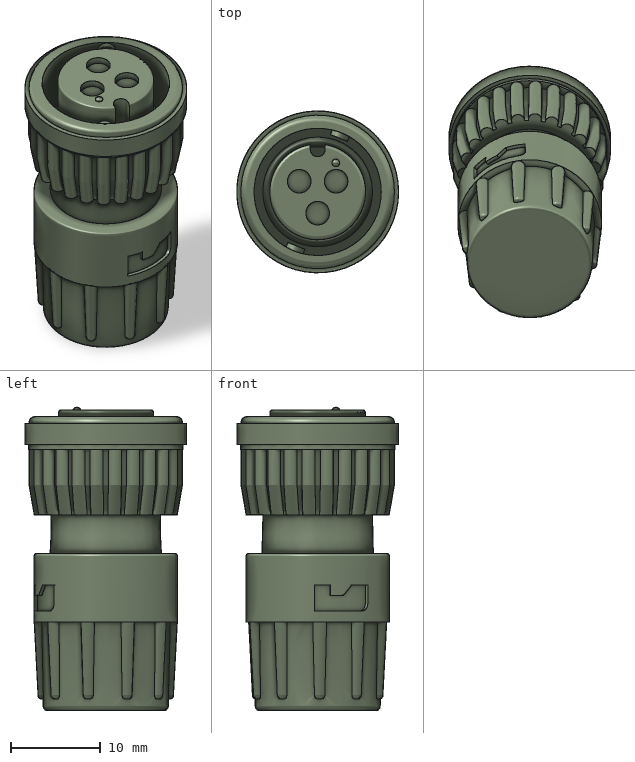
import cadquery as cq
import math


CLAMP_RADIUS = 6.95
CLAMP_TOP_RADIUS = 7.2
CLAMP_EDGE_FILLET = 0.5

CLAMP_RIB_COUNT = 10
CLAMP_RIB_START_ANGLE = -88.2
CLAMP_RIB_BOTTOM = 1.27
CLAMP_RIB_TOP_RADIUS = 0.77
CLAMP_RIB_END_RADIUS = 0.58
CLAMP_RIB_END_FILLET = 0.45

COLLAR_BOTTOM = 9.85
COLLAR_TOP = 17.5
COLLAR_RADIUS = 8.0
COLLAR_FILLET = 0.35

RECESS_COUNT = 2
RECESS_DEPTH = 0.4
RECESS_BOTTOM = 11.1
RECESS_TOP = 13.97
RECESS_CORNER_HEIGHT = 0.75
RECESS_CORNER_ANGLE = 6.0
RECESS_START_ANGLE = -92.7
RECESS_END_ANGLE = -45.8
TOOTH_BOTTOM = 12.81
TOOTH_START_ANGLE = -79.8
TOOTH_FLAT_END_ANGLE = -69.1
TOOTH_END_ANGLE = -61.6

NECK_BOTTOM_RADIUS = 6.2
NECK_TOP_RADIUS = 6.1

NUT_BOTTOM = 21.78
NUT_TAPER_TOP = 25.1
NUT_TAPER = 0.58
LIP_BOTTOM = 29.07
LIP_RADIUS = 8.6
FLANGE_BOTTOM = 29.6
FLANGE_TOP = 31.97
FLANGE_RADIUS = 18.03 / 2
RIM_TOP = 32.73
RIM_RADIUS = 8.54
RIM_FILLET = 0.7

NUT_RIB_COUNT = 24
NUT_RIB_RADIUS = 0.73
NUT_RIB_CIRCLE = LIP_RADIUS - NUT_RIB_RADIUS
NUT_CORE_RADIUS = 7.75

BORE_RADIUS = 7.08
BORE_FLOOR = 25.0
SLEEVE_INNER_RADIUS = 5.03
SLEEVE_OUTER_RADIUS = 6.1
SLEEVE_TOP = 27.5
SLEEVE_ROUND = (SLEEVE_OUTER_RADIUS - SLEEVE_INNER_RADIUS) / 2

PIN_RADIUS = 1.02
PIN_INNER_END = 6.45
PIN_OUTER_END = 7.5
PIN_CENTRE_HEIGHT = 31.6
PIN_ANGLES = (68.5, 248.5)

INSERT_RADIUS = 5.33
INSERT_TOP = 33.47
INSERT_FILLET = 0.36
CONTACT_COUNT = 3
CONTACT_RADIUS = 1.31
CONTACT_CIRCLE = 2.37
CONTACT_DEPTH = 0.81
KEYWAY_RADIUS = 0.83
KEYWAY_CENTRE = 4.75
KEYWAY_FLOOR = SLEEVE_TOP - SLEEVE_ROUND

DOT_X = 2.02
DOT_Y = 3.22
DOT_RADIUS = 0.42
DOT_TOP = 33.76


def disc(radius, bottom, top):
    """Solid cylinder on the part's axis between two heights."""
    return cq.Workplane("XY").workplane(offset=bottom).circle(radius).extrude(top - bottom)


def turned(points):
    """Solid of revolution about Z from an outline of (radius, height) points."""
    return cq.Workplane("XZ").polyline(points).close().revolve(360, (0, 0, 0), (0, 1, 0))


def around_axis(shape, angle):
    """Shape turned about Z by an angle in degrees."""
    return shape.rotate((0, 0, 0), (0, 0, 1), angle)


def with_ring(body, feature, count, start_angle):
    """Body joined in one step with evenly spaced copies of a feature around Z."""
    copies = [around_axis(feature, start_angle + index * 360 / count).val() for index in range(count)]
    return cq.Workplane(body.val().fuse(*copies))


def make_clamp_rib():
    """Tapered round rib along +X, rounded at its lower end and leaning with the clamp's cone."""
    length = COLLAR_BOTTOM - CLAMP_RIB_BOTTOM
    overlap = 0.1
    round_start = CLAMP_RIB_END_RADIUS - CLAMP_RIB_END_FILLET
    diagonal = CLAMP_RIB_END_FILLET * math.sqrt(0.5)
    rib = (
        cq.Workplane("XZ")
        .lineTo(round_start, 0)
        .threePointArc(
            (round_start + diagonal, CLAMP_RIB_END_FILLET - diagonal),
            (CLAMP_RIB_END_RADIUS, CLAMP_RIB_END_FILLET),
        )
        .lineTo(CLAMP_RIB_TOP_RADIUS, length)
        .lineTo(CLAMP_RIB_TOP_RADIUS, length + overlap)
        .lineTo(0, length + overlap)
        .close()
        .revolve(360, (0, 0, 0), (0, 1, 0))
    )
    lean = math.degrees(math.atan2(CLAMP_TOP_RADIUS - CLAMP_RADIUS, length))
    return rib.rotate((0, 0, 0), (0, 1, 0), lean).translate((CLAMP_RADIUS, 0, CLAMP_RIB_BOTTOM))


def make_clamp():
    """Clamp body with its ring of ribs."""
    clamp = turned([
        (0, 0),
        (CLAMP_RADIUS, 0),
        (CLAMP_TOP_RADIUS, COLLAR_BOTTOM),
        (0, COLLAR_BOTTOM),
    ])
    clamp = clamp.faces("<Z").edges().fillet(CLAMP_EDGE_FILLET)
    return with_ring(clamp, make_clamp_rib(), CLAMP_RIB_COUNT, CLAMP_RIB_START_ANGLE)


def make_recess():
    """Cutter for one collar recess: a wedge from the axis, limited to the recess depth."""
    middle_angle = (RECESS_START_ANGLE + RECESS_END_ANGLE) / 2
    corner_bulge = 1 - math.sqrt(0.5)

    def outline(plane, distance):
        def point(angle, height):
            return distance * math.tan(math.radians(angle - middle_angle)), height

        return (
            plane
            .moveTo(*point(RECESS_START_ANGLE, RECESS_BOTTOM))
            .lineTo(*point(RECESS_END_ANGLE - RECESS_CORNER_ANGLE, RECESS_BOTTOM))
            .threePointArc(
                point(
                    RECESS_END_ANGLE - corner_bulge * RECESS_CORNER_ANGLE,
                    RECESS_BOTTOM + corner_bulge * RECESS_CORNER_HEIGHT,
                ),
                point(RECESS_END_ANGLE, RECESS_BOTTOM + RECESS_CORNER_HEIGHT),
            )
            .lineTo(*point(RECESS_END_ANGLE, RECESS_TOP))
            .lineTo(*point(TOOTH_END_ANGLE, RECESS_TOP))
            .lineTo(*point(TOOTH_FLAT_END_ANGLE, TOOTH_BOTTOM))
            .lineTo(*point(TOOTH_START_ANGLE, TOOTH_BOTTOM))
            .lineTo(*point(TOOTH_START_ANGLE, RECESS_TOP))
            .lineTo(*point(RECESS_START_ANGLE, RECESS_TOP))
            .close()
        )

    near = COLLAR_RADIUS / 2
    far = COLLAR_RADIUS * 1.2
    near_outline = outline(cq.Workplane("YZ").workplane(offset=near), near)
    wedge = outline(near_outline.workplane(offset=far - near), far).loft(ruled=True)
    core = disc(COLLAR_RADIUS - RECESS_DEPTH, COLLAR_BOTTOM, COLLAR_TOP)
    return around_axis(wedge, middle_angle).cut(core)


def make_collar():
    """Collar with a rounded upper edge and the bayonet-shaped recesses."""
    collar = disc(COLLAR_RADIUS, COLLAR_BOTTOM, COLLAR_TOP)
    collar = collar.faces(">Z").edges().fillet(COLLAR_FILLET)
    recess = make_recess()
    for index in range(RECESS_COUNT):
        collar = collar.cut(around_axis(recess, index * 360 / RECESS_COUNT))
    return collar


def make_neck():
    """Slightly conical neck."""
    return turned([
        (0, COLLAR_TOP),
        (NECK_BOTTOM_RADIUS, COLLAR_TOP),
        (NECK_TOP_RADIUS, NUT_BOTTOM),
        (0, NUT_BOTTOM),
    ])


def make_nut_rib():
    """Round rib along +X: straight above, leaning inward over the nut's tapered part."""
    straight = (
        cq.Workplane("XY")
        .workplane(offset=NUT_TAPER_TOP)
        .center(NUT_RIB_CIRCLE, 0)
        .circle(NUT_RIB_RADIUS)
        .extrude(LIP_BOTTOM - NUT_TAPER_TOP)
    )
    leaning = (
        cq.Workplane("XY")
        .workplane(offset=NUT_BOTTOM)
        .center(NUT_RIB_CIRCLE - NUT_TAPER, 0)
        .circle(NUT_RIB_RADIUS)
        .workplane(offset=NUT_TAPER_TOP - NUT_BOTTOM)
        .center(NUT_TAPER, 0)
        .circle(NUT_RIB_RADIUS)
        .loft(ruled=True)
    )
    return straight.union(leaning)


def make_nut():
    """Coupling nut: ribbed grip, lip, flange and rounded rim, with the socket bore."""
    nut = turned([
        (0, NUT_BOTTOM),
        (NUT_CORE_RADIUS - NUT_TAPER, NUT_BOTTOM),
        (NUT_CORE_RADIUS, NUT_TAPER_TOP),
        (NUT_CORE_RADIUS, LIP_BOTTOM),
        (0, LIP_BOTTOM),
    ])
    half_pitch = 180 / NUT_RIB_COUNT
    nut = with_ring(nut, make_nut_rib(), NUT_RIB_COUNT, half_pitch)
    rim = disc(RIM_RADIUS, FLANGE_TOP, RIM_TOP).faces(">Z").edges().fillet(RIM_FILLET)
    nut = nut.union(disc(LIP_RADIUS, LIP_BOTTOM, FLANGE_BOTTOM))
    nut = nut.union(disc(FLANGE_RADIUS, FLANGE_BOTTOM, FLANGE_TOP)).union(rim)
    return nut.cut(disc(BORE_RADIUS, BORE_FLOOR, RIM_TOP))


def make_bayonet_pin(angle):
    """Round pin pointing inward from the bore wall."""
    pin = (
        cq.Workplane("YZ")
        .workplane(offset=PIN_INNER_END)
        .center(0, PIN_CENTRE_HEIGHT)
        .circle(PIN_RADIUS)
        .extrude(PIN_OUTER_END - PIN_INNER_END)
    )
    return around_axis(pin, angle)


def make_sleeve():
    """Ring around the foot of the insert with a full-round top."""
    spring_height = SLEEVE_TOP - SLEEVE_ROUND
    return (
        cq.Workplane("XZ")
        .moveTo(SLEEVE_INNER_RADIUS, BORE_FLOOR)
        .lineTo(SLEEVE_OUTER_RADIUS, BORE_FLOOR)
        .lineTo(SLEEVE_OUTER_RADIUS, spring_height)
        .threePointArc(
            (SLEEVE_OUTER_RADIUS - SLEEVE_ROUND, SLEEVE_TOP),
            (SLEEVE_INNER_RADIUS, spring_height),
        )
        .close()
        .revolve(360, (0, 0, 0), (0, 1, 0))
    )


def make_keyway():
    """Cutter for the round-bottomed keyway open to the +Y side of the insert."""
    plane = cq.Workplane("XY").workplane(offset=KEYWAY_FLOOR)
    height = INSERT_TOP - KEYWAY_FLOOR
    round_end = plane.center(0, KEYWAY_CENTRE).circle(KEYWAY_RADIUS).extrude(height)
    opening = (
        plane.center(0, KEYWAY_CENTRE + KEYWAY_RADIUS)
        .rect(2 * KEYWAY_RADIUS, 2 * KEYWAY_RADIUS)
        .extrude(height)
    )
    return round_end.union(opening)


def make_dot():
    """Domed index mark, a cap of a sphere."""
    height = DOT_TOP - INSERT_TOP
    sphere_radius = (DOT_RADIUS ** 2 + height ** 2) / (2 * height)
    return cq.Workplane("XY").sphere(sphere_radius).translate((DOT_X, DOT_Y, DOT_TOP - sphere_radius))


def make_insert():
    """Contact insert with three contact holes, the keyway and the index mark."""
    insert = disc(INSERT_RADIUS, BORE_FLOOR, INSERT_TOP).faces(">Z").edges().fillet(INSERT_FILLET)
    contacts = (
        cq.Workplane("XY")
        .workplane(offset=INSERT_TOP - CONTACT_DEPTH)
        .polarArray(CONTACT_CIRCLE, -90, 360, CONTACT_COUNT)
        .circle(CONTACT_RADIUS)
        .extrude(CONTACT_DEPTH)
    )
    return insert.cut(contacts).cut(make_keyway()).union(make_dot())


result = make_clamp().union(make_collar()).union(make_neck()).union(make_nut())
for pin_angle in PIN_ANGLES:
    result = result.union(make_bayonet_pin(pin_angle))
result = result.union(make_insert()).union(make_sleeve())